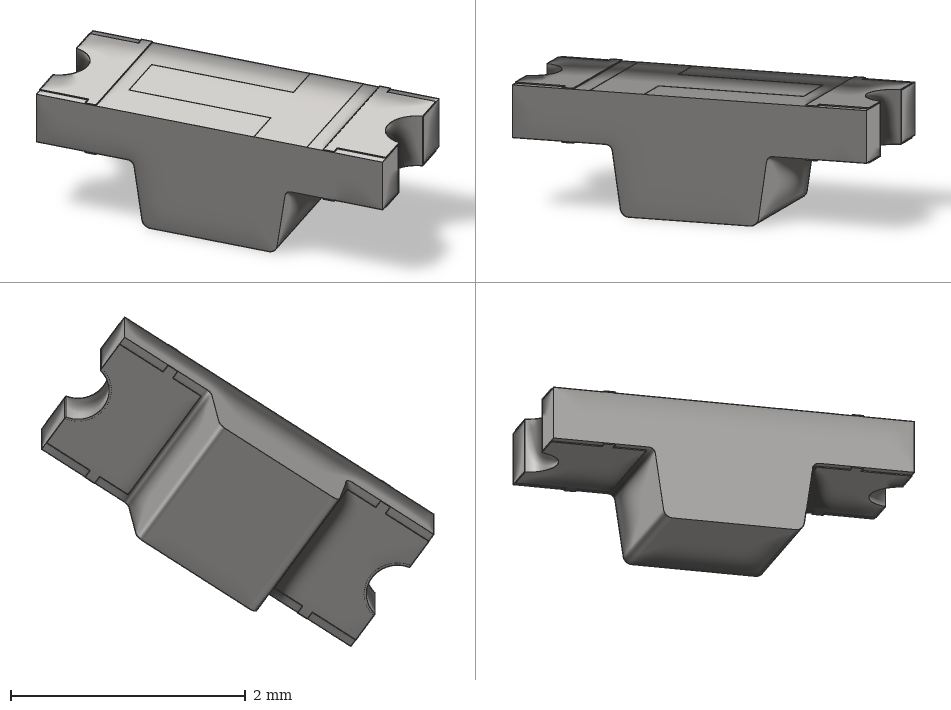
import cadquery as cq
import math

LENGTH = 3.2
WIDTH = 1.25
BOARD_THICKNESS = 0.46

LENS_DEPTH = 0.62
LENS_ROOT_WIDTH = 1.41
LENS_TIP_WIDTH = 1.23
LENS_ROOT_FILLET = 0.06
LENS_TIP_FILLET = 0.08

FOIL_THICKNESS = 0.01
PLATING_THICKNESS = 0.02
PAD_LENGTH = 0.55
CORNER_LENGTH = 0.45
CORNER_WIDTH = 0.075
NARROW_WIDTH = WIDTH - 2 * CORNER_WIDTH

RECESS_RADIUS = 0.265
RECESS_DEPTH = 0.212

MARK_HEIGHT = 0.001
MARK_END = 0.9
MARK_BAR_START = 0.41
MARK_STEM_WIDTH = 0.5

HALF_LENGTH = LENGTH / 2
LENS_DRAFT = math.atan((LENS_ROOT_WIDTH - LENS_TIP_WIDTH) / 2 / LENS_DEPTH)
LENS_FILLET_RUN = LENS_ROOT_FILLET * math.tan((math.pi / 2 - LENS_DRAFT) / 2)
TRACE_END = LENS_ROOT_WIDTH / 2 + LENS_FILLET_RUN
RECESS_CENTRE = HALF_LENGTH - RECESS_DEPTH + RECESS_RADIUS


def block(x_start, x_end, width, z_start, z_end):
    """Block between two X and two Z positions, centred across Y."""
    return (
        cq.Workplane("XY", origin=((x_start + x_end) / 2, 0, z_start))
        .rect(x_end - x_start, width)
        .extrude(z_end - z_start)
    )


def recess_cylinder(side, radius):
    """Upright cylinder on the recess axis, as tall as the board and both foils."""
    return (
        cq.Workplane("XY", origin=(side * RECESS_CENTRE, 0, -FOIL_THICKNESS))
        .circle(radius)
        .extrude(BOARD_THICKNESS + 2 * FOIL_THICKNESS)
    )


def make_housing():
    """Board and lens in one profile, with plated recess seats and the mark."""
    profile = [
        (-HALF_LENGTH, BOARD_THICKNESS),
        (HALF_LENGTH, BOARD_THICKNESS),
        (HALF_LENGTH, 0),
        (LENS_ROOT_WIDTH / 2, 0),
        (LENS_TIP_WIDTH / 2, -LENS_DEPTH),
        (-LENS_TIP_WIDTH / 2, -LENS_DEPTH),
        (-LENS_ROOT_WIDTH / 2, 0),
        (-HALF_LENGTH, 0),
    ]
    housing = cq.Workplane("XZ", origin=(0, WIDTH / 2, 0)).polyline(profile).close().extrude(WIDTH)

    root_edges = cq.selectors.BoxSelector(
        (-LENS_ROOT_WIDTH, -WIDTH, -FOIL_THICKNESS), (LENS_ROOT_WIDTH, WIDTH, FOIL_THICKNESS)
    )
    housing = housing.edges("|Y").edges(root_edges).fillet(LENS_ROOT_FILLET)
    housing = housing.faces("<Z").edges("|Y").fillet(LENS_TIP_FILLET)

    for side in (-1, 1):
        housing = housing.cut(recess_cylinder(side, RECESS_RADIUS + PLATING_THICKNESS))

    mark_top = BOARD_THICKNESS + MARK_HEIGHT
    bar = block(MARK_BAR_START, MARK_END, WIDTH, BOARD_THICKNESS, mark_top)
    stem = block(-MARK_END, MARK_BAR_START, MARK_STEM_WIDTH, BOARD_THICKNESS, mark_top)
    return housing.union(bar.union(stem))


def make_foil(z_start):
    """Pad foil at the +X end, narrowed beside the two outer corners."""
    z_end = z_start + FOIL_THICKNESS
    pad_start = HALF_LENGTH - PAD_LENGTH
    corner_start = HALF_LENGTH - CORNER_LENGTH
    wide_strip = block(pad_start, corner_start, WIDTH, z_start, z_end)
    narrow_pad = block(corner_start, HALF_LENGTH, NARROW_WIDTH, z_start, z_end)
    return wide_strip.union(narrow_pad)


def make_terminal(side):
    """Top and bottom foils joined by the plating of the end recess."""
    top_foil = make_foil(BOARD_THICKNESS)
    bottom_foil = make_foil(-FOIL_THICKNESS)
    trace = block(TRACE_END, HALF_LENGTH - PAD_LENGTH, NARROW_WIDTH, -FOIL_THICKNESS, 0)
    plating = recess_cylinder(1, RECESS_RADIUS + PLATING_THICKNESS).intersect(
        block(0, HALF_LENGTH, WIDTH, -FOIL_THICKNESS, BOARD_THICKNESS + FOIL_THICKNESS)
    )
    terminal = top_foil.union(bottom_foil).union(trace).union(plating)
    terminal = terminal.cut(recess_cylinder(1, RECESS_RADIUS))
    return terminal if side > 0 else terminal.mirror("YZ")


housing = make_housing()
terminals = [make_terminal(side) for side in (-1, 1)]

result = cq.Compound.makeCompound([housing.val(), *[terminal.val() for terminal in terminals]])